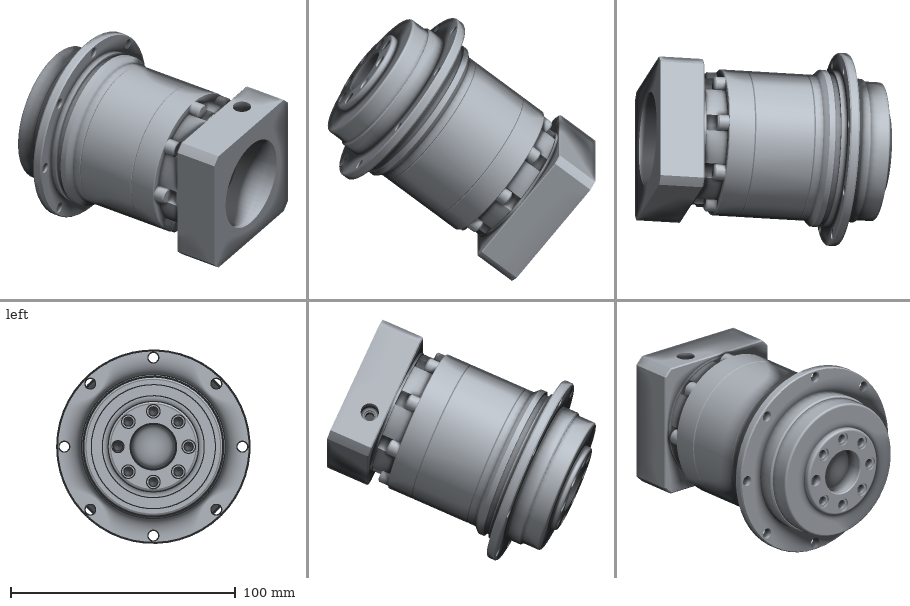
import cadquery as cq
import math


housing_front = 3.0
pilot_step = 11.6
flange_front = 19.2
flange_back = 23.4
seal_groove_front = 26.0
seal_groove_back = 28.7
cone_front = 31.2
cone_back = 33.7
housing_back = 37.5
cover_joint = 64.4
cover_back = 76.3
plate_joint = 85.9
plate_front = 87.0
overall_length = 107.0

shaft_radius = 20.1
shaft_fillet = 1.1
shoulder_radius = 22.7
shaft_end = flange_front
bore_radius = 10.0
bore_depth = 7.8
bore_chamfer = 0.4
shaft_hole_count = 8
shaft_hole_circle = 15.7
shaft_hole_radius = 2.0
shaft_hole_depth = 8.6
counterbore_radius = 3.0
counterbore_depth = 0.9
pin_radius = 2.7
pin_depth = 4.5
drill_half_angle = math.radians(60)

seal_outer_radius = 27.6
seal_width = 7.0

nose_radius = 30.9
nose_fillet = 1.0
pilot_radius = 32.0
pilot_chamfer = 0.6
flange_radius = 43.0
flange_chamfer_radial = 0.4
flange_chamfer_axial = 0.6
flange_hole_count = 8
flange_hole_circle = 39.6
flange_hole_radius = 2.4
collar_radius = 35.0
seal_groove_radius = 33.5

body_radius = 32.5
edge_chamfer = 0.3
neck_radius = 28.2
screw_count = 8
screw_circle = 28.8
screw_head_radius = 3.5
screw_head_height = 4.9
screw_head_chamfer = 0.6
screw_pocket_radius = 3.7

plate_width = 59.9
plate_corner_radius = 40.0
plate_chamfer = 0.5
plate_collar_radius = 28.6
motor_bore_radius = 20.8
access_x = 94.4
access_y = 11.9
access_radius = 4.1
access_depth = 7.5
access_step_radius = 2.7
access_step_depth = 1.1
access_bottom_radius = 2.0


def revolve_profile(points):
    """Solid of revolution about X from (x, radius) points."""
    return cq.Workplane("XY").polyline(points).close().revolve(360, (0, 0, 0), (1, 0, 0))


def disc(x_start, x_end, radius, y=0, z=0):
    """Cylinder along X whose axis passes through (y, z)."""
    return cq.Workplane("YZ", origin=(x_start, y, z)).circle(radius).extrude(x_end - x_start)


def circle_places(count, radius):
    """Evenly spaced (y, z) places, the first on +Y."""
    angles = [2 * math.pi * i / count for i in range(count)]
    return [(radius * math.cos(a), radius * math.sin(a)) for a in angles]


def drilled_hole(y, z, is_screw_hole):
    """Blind hole with a drill point; a screw hole has a counterbore, a pin hole a wider bore."""
    point_end = shaft_hole_depth + shaft_hole_radius / math.tan(drill_half_angle)
    if is_screw_hole:
        mouth = [
            (0, counterbore_radius),
            (counterbore_depth, counterbore_radius),
            (counterbore_depth, shaft_hole_radius),
        ]
    else:
        cone_length = (pin_radius - shaft_hole_radius) / math.tan(drill_half_angle)
        mouth = [
            (0, pin_radius),
            (pin_depth, pin_radius),
            (pin_depth + cone_length, shaft_hole_radius),
        ]
    tip = [(shaft_hole_depth, shaft_hole_radius), (point_end, 0)]
    return revolve_profile([(0, 0), *mouth, *tip]).translate((0, y, z))


def make_shaft():
    shaft = disc(0, housing_front, shaft_radius).faces("<X").edges().fillet(shaft_fillet)
    shaft = shaft.union(disc(housing_front, shaft_end, shoulder_radius))
    bore = disc(0, bore_depth, bore_radius)
    shaft = shaft.cut(bore)
    shaft = shaft.faces("<X").edges(cq.selectors.RadiusNthSelector(0)).chamfer(bore_chamfer)
    for i, (y, z) in enumerate(circle_places(shaft_hole_count, shaft_hole_circle)):
        shaft = shaft.cut(drilled_hole(y, z, is_screw_hole=i > 0))
    return shaft


def make_seal():
    seal_back = housing_front + seal_width
    ring = disc(housing_front, seal_back, seal_outer_radius)
    return ring.cut(disc(housing_front, seal_back, shoulder_radius))


def make_front_housing():
    flange_edge_radius = flange_radius - flange_chamfer_radial
    housing = revolve_profile([
        (pilot_step, 0),
        (pilot_step, pilot_radius - pilot_chamfer),
        (pilot_step + pilot_chamfer, pilot_radius),
        (flange_front, pilot_radius),
        (flange_front, flange_edge_radius),
        (flange_front + flange_chamfer_axial, flange_radius),
        (flange_back - flange_chamfer_axial, flange_radius),
        (flange_back, flange_edge_radius),
        (flange_back, collar_radius),
        (seal_groove_front, collar_radius),
        (seal_groove_front, seal_groove_radius),
        (seal_groove_back, seal_groove_radius),
        (seal_groove_back, collar_radius),
        (cone_front, collar_radius),
        (cone_back, body_radius),
        (housing_back - edge_chamfer, body_radius),
        (housing_back, body_radius - edge_chamfer),
        (housing_back, 0),
    ])
    nose = disc(housing_front, pilot_step, nose_radius).faces("<X").edges().fillet(nose_fillet)
    housing = housing.union(nose)
    housing = housing.cut(disc(housing_front, housing_front + seal_width, seal_outer_radius))
    housing = housing.cut(disc(housing_front, shaft_end, shoulder_radius))
    for y, z in circle_places(flange_hole_count, flange_hole_circle):
        housing = housing.cut(disc(flange_front, flange_back, flange_hole_radius, y, z))
    return housing


def make_gear_case():
    groove_radius = body_radius - edge_chamfer
    case = revolve_profile([
        (housing_back, 0),
        (housing_back, groove_radius),
        (housing_back + edge_chamfer, body_radius),
        (cover_joint - edge_chamfer, body_radius),
        (cover_joint, groove_radius),
        (cover_joint + edge_chamfer, body_radius),
        (cover_back - edge_chamfer, body_radius),
        (cover_back, groove_radius),
        (cover_back, neck_radius),
        (plate_joint - edge_chamfer, neck_radius),
        (plate_joint, neck_radius - edge_chamfer),
        (plate_joint, 0),
    ])
    head_back = cover_back + screw_head_height
    for y, z in circle_places(screw_count, screw_circle):
        case = case.cut(disc(cover_back, plate_joint, screw_pocket_radius, y, z))
        head = disc(cover_back, head_back, screw_head_radius, y, z)
        case = case.union(head.faces(">X").edges().chamfer(screw_head_chamfer))
    return case


def make_motor_plate():
    thickness = overall_length - plate_front
    plate = cq.Workplane("YZ", origin=(plate_front, 0, 0)).rect(plate_width, plate_width).extrude(thickness)
    plate = plate.intersect(disc(plate_front, overall_length, plate_corner_radius))
    plate = plate.faces("<X").edges().chamfer(plate_chamfer)
    plate = plate.union(disc(plate_joint, plate_front, plate_collar_radius))
    plate = plate.cut(disc(plate_front, overall_length, motor_bore_radius))

    top = plate_width / 2
    steps = [
        (access_radius, access_depth),
        (access_step_radius, access_depth + access_step_depth),
        (access_bottom_radius, top),
    ]
    for radius, depth in steps:
        hole = cq.Workplane("XY", origin=(access_x, access_y, top)).circle(radius).extrude(-depth)
        plate = plate.cut(hole)
    return plate


shaft = make_shaft()
seal = make_seal()
front_housing = make_front_housing()
gear_case = make_gear_case()
motor_plate = make_motor_plate()

result = cq.Compound.makeCompound([
    shaft.val(),
    seal.val(),
    front_housing.val(),
    gear_case.val(),
    motor_plate.val(),
])